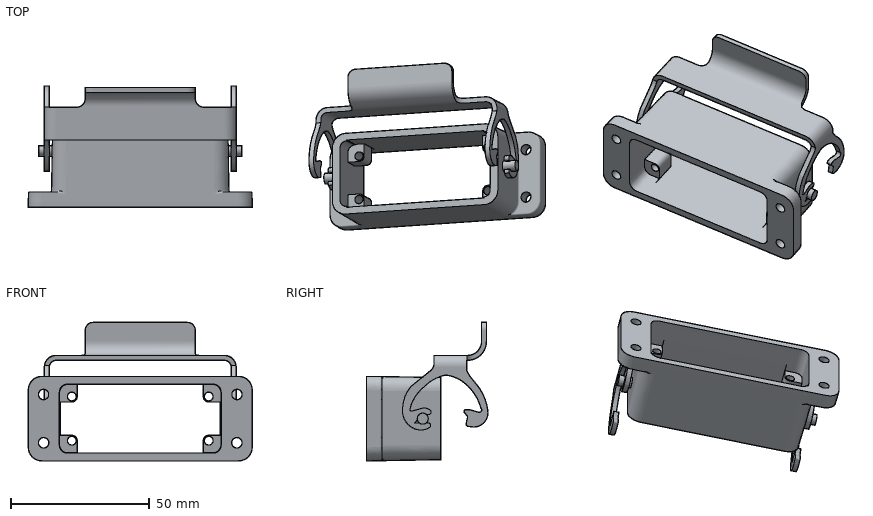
import cadquery as cq

draft_angle = 1.0
straight_depth = 1.8
flange_width = 81.2
flange_height = 30.7
flange_corner_radius = 5.0
flange_depth = 5.6
flange_rim_radius = 0.5
box_width = 64.5
box_corner_radius = 5.5
housing_depth = 27.0

opening_width = 58.7
opening_height = 25.0
opening_corner_radius = 3.0
passage_height = 24.8
wall_overlap = 1.0

mounting_hole_diameter = 3.7
mounting_hole_x = 35.0
mounting_hole_z = 8.75

boss_front = 10.0
boss_length = 8.0
boss_hole_diameter = 3.1
boss_hole_x = 24.8
boss_hole_z = 8.0
boss_wall_radius = 2.0

pin_diameter = 4.0
pin_y = 20.4
pin_end_x = 36.8

strip = 1.85
bail_half_width = 34.8
bail_top = 22.95
bail_bend_radius = 4.4
plate_front = 24.4
plate_rear = 36.35
arm_bottom = -5.0
strap_length = 50.0
pivot_slot_half = 1.55
notch_tip_y = 17.45
notch_shoulder_y = 18.5
notch_shoulder_z = -0.4

tab_half_width = 20.0
tab_top = bail_top + 11.97
tab_rear = 43.5
tab_bend_radius = 5.0
tab_corner_radius = 3.0
tab_root_radius = 3.0


def rounded_prism(width, height, radius, start, end, taper=0.0):
    """Rounded rectangle in X-Z, extruded along +Y from start to end."""
    return (
        cq.Workplane("XZ", origin=(0, start, 0))
        .sketch()
        .rect(width, height)
        .vertices()
        .fillet(radius)
        .finalize()
        .extrude(-(end - start), taper=taper)
    )


def drafted_prism(width, height, radius, depth):
    """Rounded prism with a straight front strip and a draft behind it."""
    front = rounded_prism(width, height, radius, 0, straight_depth)
    rear = rounded_prism(width, height, radius, straight_depth, depth, draft_angle)
    return front.union(rear)


def corner_points(x, z):
    return [(sx * x, sz * z) for sx in (-1, 1) for sz in (-1, 1)]


def make_boss(x_side, z_side):
    """Screw boss that fills one corner of the box, without its hole."""
    free_x = boss_hole_x - boss_wall_radius
    free_z = boss_hole_z - boss_wall_radius
    wall_x = opening_width / 2 + wall_overlap
    wall_z = opening_height / 2 + wall_overlap
    boss = (
        cq.Workplane("XY")
        .box(wall_x - free_x, boss_length, wall_z - free_z, centered=False)
        .edges("<X and <Z")
        .fillet(boss_wall_radius)
        .translate((free_x, boss_front, free_z))
    )
    if x_side < 0:
        boss = boss.mirror("YZ")
    if z_side < 0:
        boss = boss.mirror("XY")
    return boss


def make_passage(width, start):
    """Straight block that runs out of the back of the housing."""
    return (
        cq.Workplane("XY", origin=(0, start, 0))
        .box(width, housing_depth - start, passage_height, centered=(True, False, True))
    )


def make_housing():
    flange = drafted_prism(flange_width, flange_height, flange_corner_radius, flange_depth)
    box = drafted_prism(box_width, flange_height, box_corner_radius, housing_depth)
    shell = flange.union(box)
    ears = shell.faces("+Y").faces("<Y")
    shell = ears.edges().fillet(flange_rim_radius)

    cavity = drafted_prism(opening_width, opening_height, opening_corner_radius, housing_depth)
    shell = shell.cut(cavity)

    boss_rear = boss_front + boss_length
    gap_width = 2 * (boss_hole_x - boss_wall_radius)
    flat_width = opening_width - 2 * opening_corner_radius
    shell = shell.cut(make_passage(gap_width, 0)).cut(make_passage(flat_width, boss_rear))

    for x_side in (-1, 1):
        for z_side in (-1, 1):
            shell = shell.union(make_boss(x_side, z_side))
    boss_holes = (
        cq.Workplane("XZ", origin=(0, boss_front, 0))
        .pushPoints(corner_points(boss_hole_x, boss_hole_z))
        .circle(boss_hole_diameter / 2)
        .extrude(-boss_length)
    )
    mounting_holes = (
        cq.Workplane("XZ")
        .pushPoints(corner_points(mounting_hole_x, mounting_hole_z))
        .circle(mounting_hole_diameter / 2)
        .extrude(-flange_depth)
    )
    shell = shell.cut(boss_holes).cut(mounting_holes)

    pin_start_x = opening_width / 2 + wall_overlap
    for side in (-1, 1):
        pin = (
            cq.Workplane("YZ", origin=(side * pin_start_x, pin_y, 0))
            .circle(pin_diameter / 2)
            .extrude(side * (pin_end_x - pin_start_x))
        )
        shell = shell.union(pin)
    return shell


def make_tab():
    """Curved thumb tab, flared where it leaves the plate."""
    bend_y = tab_rear - strip - tab_bend_radius
    bend_z = bail_top + tab_bend_radius
    outer_radius = tab_bend_radius + strip
    flared_half_width = tab_half_width + tab_root_radius
    curl = (
        cq.Workplane("YZ", origin=(-flared_half_width, 0, 0))
        .moveTo(plate_rear - strip, bail_top)
        .lineTo(bend_y, bail_top)
        .radiusArc((bend_y + tab_bend_radius, bend_z), -tab_bend_radius)
        .lineTo(bend_y + tab_bend_radius, tab_top)
        .lineTo(tab_rear, tab_top)
        .lineTo(tab_rear, bend_z)
        .radiusArc((bend_y, bail_top - strip), outer_radius)
        .lineTo(plate_rear - strip, bail_top - strip)
        .close()
        .extrude(2 * flared_half_width)
    )
    plan = (
        cq.Workplane("XY")
        .moveTo(-flared_half_width, plate_rear - strip)
        .lineTo(-flared_half_width, plate_rear)
        .radiusArc((-tab_half_width, plate_rear + tab_root_radius), -tab_root_radius)
        .lineTo(-tab_half_width, tab_rear)
        .lineTo(tab_half_width, tab_rear)
        .lineTo(tab_half_width, plate_rear + tab_root_radius)
        .radiusArc((flared_half_width, plate_rear), -tab_root_radius)
        .lineTo(flared_half_width, plate_rear - strip)
        .close()
        .extrude(tab_top)
    )
    tab = curl.intersect(plan)
    return tab.faces(">Z").edges("|Y").fillet(tab_corner_radius)


def bent_block(half_width, top, radius):
    """Block along Y with its two upper edges rounded."""
    return (
        cq.Workplane("XZ")
        .moveTo(-half_width, arm_bottom)
        .lineTo(-half_width, top - radius)
        .radiusArc((-half_width + radius, top), radius)
        .lineTo(half_width - radius, top)
        .radiusArc((half_width, top - radius), radius)
        .lineTo(half_width, arm_bottom)
        .close()
        .extrude(-strap_length)
    )


def side_plane():
    """Y-Z plane on the outer face of the -X arm."""
    return cq.Workplane("YZ", origin=(-bail_half_width, 0, 0))


def make_strap():
    """Strip bent into an upside-down U that spans the housing."""
    outside = bent_block(bail_half_width, bail_top, bail_bend_radius)
    inside = bent_block(bail_half_width - strip, bail_top - strip, bail_bend_radius - strip)
    return outside.cut(inside)


def make_side_shape():
    """Side outline of the bail in Y-Z: plate on top, a hooked arm on each side of the arch."""
    return (
        side_plane()
        .moveTo(plate_front, bail_top)
        .lineTo(plate_rear, bail_top)
        .lineTo(plate_rear, 17.5)
        .threePointArc((36.85, 16.5), (37.85, 14.95))
        .lineTo(39.75, 12.6)
        .threePointArc((42.93, 7.27), (44.02, 2.8))
        .threePointArc((42.3, -1.75), (38.7, -3.08))
        .lineTo(36.8, -2.85)
        .threePointArc((36.25, -2.45), (36.1, -1.65))
        .lineTo(36.57, 0.3)
        .threePointArc((36.55, 0.8), (36.25, 1.25))
        .lineTo(35.55, 2.1)
        .threePointArc((35.36, 2.75), (36.0, 3.3))
        .lineTo(37.3, 3.3)
        .lineTo(40.6, 2.35)
        .threePointArc((41.3, 2.45), (41.4, 3.9))
        .threePointArc((39.75, 7.9), (36.57, 11.93))
        .threePointArc((32.97, 14.52), (28.72, 15.75))
        .threePointArc((24.48, 14.26), (21.09, 11.72))
        .threePointArc((17.91, 8.33), (15.75, 3.45))
        .threePointArc((15.96, 2.88), (16.64, 2.77))
        .lineTo(19.4, 3.55)
        .threePointArc((21.3, 3.81), (22.79, 3.3))
        .threePointArc((23.38, 2.28), (22.9, pivot_slot_half))
        .lineTo(pin_y, pivot_slot_half)
        .lineTo(pin_y, -pivot_slot_half)
        .lineTo(22.6, -pivot_slot_half)
        .threePointArc((23.2, -2.2), (23.0, -3.1))
        .threePointArc((21.3, -3.9), (19.2, -4.1))
        .threePointArc((14.83, -1.85), (13.1, 3.24))
        .threePointArc((14.1, 8.33), (16.2, 11.7))
        .lineTo(23.0, 17.23)
        .tangentArcPoint((plate_front, 19.3), relative=False)
        .close()
        .extrude(2 * bail_half_width)
    )


def make_pivot_eye():
    """Round seat for the pin, with a pointed notch on its front lower side."""
    seat = side_plane().center(pin_y, 0).circle(pin_diameter / 2).extrude(2 * bail_half_width)
    notch = (
        side_plane()
        .moveTo(pin_y, -pivot_slot_half)
        .lineTo(notch_tip_y, -pivot_slot_half)
        .lineTo(notch_shoulder_y, notch_shoulder_z)
        .lineTo(pin_y, 0)
        .close()
        .extrude(2 * bail_half_width)
    )
    return seat.union(notch)


def make_bail():
    arms_and_plate = make_strap().intersect(make_side_shape())
    return arms_and_plate.cut(make_pivot_eye()).union(make_tab())


housing = make_housing()
bail = make_bail()
result = cq.Compound.makeCompound([*housing.solids().vals(), *bail.solids().vals()])